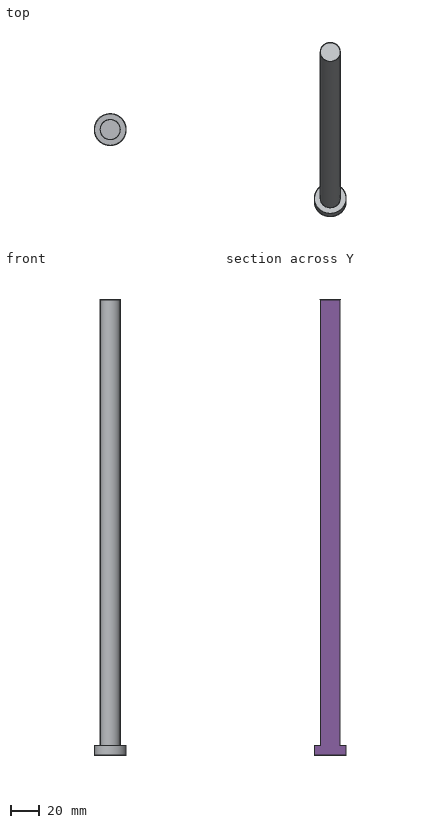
import cadquery as cq

total_length = 315.0
head_diameter = 22.0
head_height = 7.0
shaft_diameter = 14.0

head = cq.Workplane("XY").circle(head_diameter / 2).extrude(head_height)
shaft = cq.Workplane("XY").circle(shaft_diameter / 2).extrude(total_length)

result = head.union(shaft)